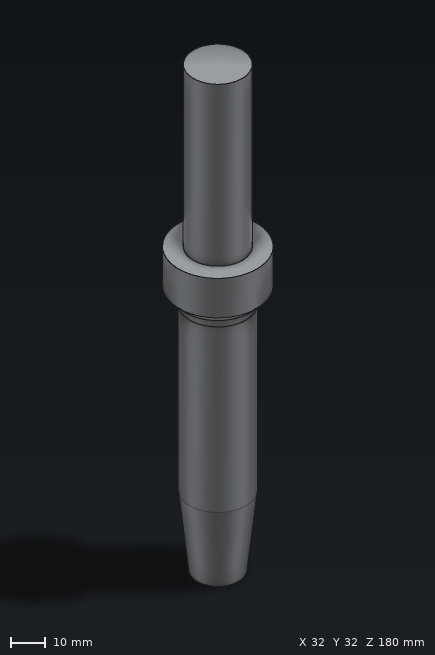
import cadquery as cq

total_length = 180.0
shank_radius = 20.0 / 2
collar_radius = 32.0 / 2
neck_radius = 25.7 / 2
body_radius = 23.0 / 2
tip_radius = 17.0 / 2

taper_top = 28.6
collar_bottom = 101.2
collar_top = 115.2
cone_height = 3.2
neck_height = collar_bottom - cone_height
body_top = neck_height - cone_height

profile = (
    cq.Workplane("XZ")
    .lineTo(tip_radius, 0)
    .lineTo(body_radius, taper_top)
    .lineTo(body_radius, body_top)
    .lineTo(neck_radius, neck_height)
    .lineTo(collar_radius, collar_bottom)
    .lineTo(collar_radius, collar_top)
    .lineTo(shank_radius, collar_top)
    .lineTo(shank_radius, total_length)
    .lineTo(0, total_length)
    .close()
)
result = profile.revolve(360, (0, 0), (0, 1))